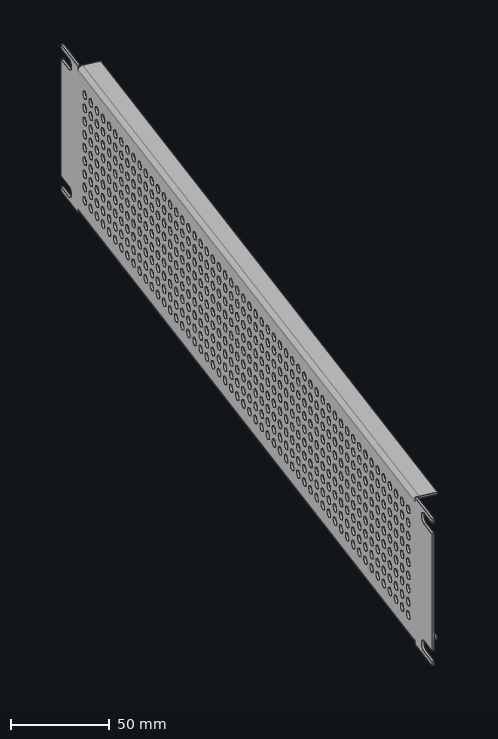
import cadquery as cq

panel_length = 482.5
panel_height = 88.5
panel_depth = 12.5
sheet = 1.5

flange_length = 438.0
bend_outer_radius = 2.5
bend_inner_radius = bend_outer_radius - sheet

slot_width = 6.5
slot_depth = 13.5
slot_spacing = 76.5

hole_diameter = 4.5
hole_columns = 54
hole_rows = 9
hole_grid_length = 421.0
hole_pitch = hole_grid_length / (hole_columns - 1)


def make_channel():
    """Middle of the panel: a C-shaped channel with rounded bends."""
    outer = (
        cq.Workplane("XY")
        .box(flange_length, panel_depth, panel_height, centered=(True, False, True))
        .edges("|X and <Y")
        .fillet(bend_outer_radius)
    )
    inner = (
        cq.Workplane("XY")
        .box(flange_length, panel_depth, panel_height - 2 * sheet, centered=(True, False, True))
        .edges("|X and <Y")
        .fillet(bend_inner_radius)
        .translate((0, sheet, 0))
    )
    return outer.cut(inner)


def make_ears():
    """Flat, full-height ends of the panel on either side of the channel."""
    plate = cq.Workplane("XY").box(panel_length, sheet, panel_height, centered=(True, False, True))
    middle = cq.Workplane("XY").box(flange_length, panel_depth, panel_height)
    return plate.cut(middle)


def make_slots():
    """Round-ended cutters, centred on the end edges so that each slot is open."""
    centres = [
        (side_x * panel_length / 2, side_z * slot_spacing / 2)
        for side_x in (-1, 1)
        for side_z in (-1, 1)
    ]
    return (
        cq.Workplane("XZ")
        .pushPoints(centres)
        .slot2D(2 * slot_depth, slot_width)
        .extrude(-sheet)
    )


def make_vent_holes():
    """Cutters for the rectangular grid of ventilation holes."""
    return (
        cq.Workplane("XZ")
        .rarray(hole_pitch, hole_pitch, hole_columns, hole_rows)
        .circle(hole_diameter / 2)
        .extrude(-sheet)
    )


result = make_channel().union(make_ears()).cut(make_slots()).cut(make_vent_holes())